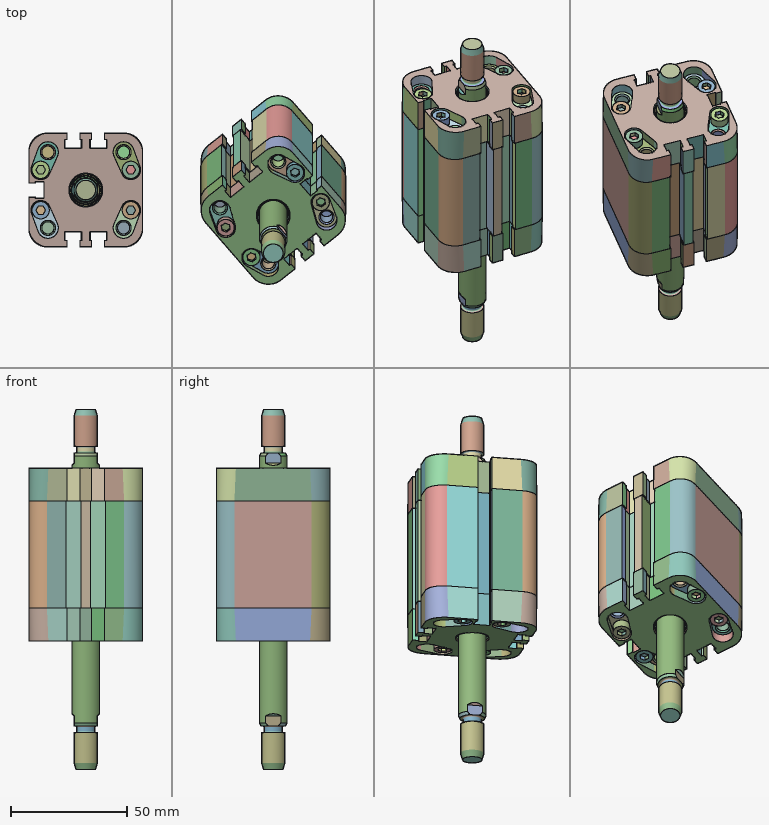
import cadquery as cq
import math


WIDTH = 49.0
HALF_WIDTH = WIDTH / 2
CORNER_RADIUS = 7.9
CAP_END_CORNER_RADIUS = 8.5
BODY_LENGTH = 74.4
CAP_LENGTH = 14.3
BARREL_LENGTH = BODY_LENGTH - 2 * CAP_LENGTH

SLOT_DEPTH = 6.5
LIP_DEPTH = 2.8
WEB_HALF_WIDTH = 2.5
PAIR_MOUTH_WIDTH = 5.6
UNDERCUT = 1.0
BARREL_MOUTH_RELIEF = 0.5
SIDE_MOUTH_WIDTH = 6.0
SIDE_UNDERCUT = 0.5

HOLE_OFFSET = 16.3
HOLE_DIAMETER = 5.3
HOLE_DEPTH = 9.3
HOLE_MOUTH_DIAMETER = 6.5
SCREW_X = 19.4
SCREW_Y = 8.7
POCKET_DEPTH = 4.5
HOLE_POCKET_RADIUS = 4.5
SCREW_POCKET_RADIUS = 4.2
HEAD_DIAMETER = 7.5
HEAD_HEIGHT = 3.9
SOCKET_ACROSS_FLATS = 3.5
SOCKET_DEPTH = 2.0

ROD_DIAMETER = 12.0
ROD_LENGTH = 155.0
TOP_REACH = 25.3
TIP_DIAMETER = 8.4
TIP_LENGTH = 2.8
THREAD_DIAMETER = 10.0
THREAD_LENGTH = 16.0
NECK_DIAMETER = 7.9
NECK_FILLET = 0.5
SHOULDER_DISTANCE = 18.8
SHOULDER_CHAMFER_HEIGHT = 1.4
SHOULDER_CHAMFER_WIDTH = 0.6
FLAT_WIDTH = 9.9
FLAT_LENGTH = 4.3
CAP_BORE_DIAMETER = 12.5
MOUTH_DIAMETER = 13.6
MOUTH_RIM_DIAMETER = 14.5
MOUTH_DEPTH = 1.5


def disc(x, y, radius, bottom, height):
    return cq.Workplane("XY", origin=(x, y, bottom)).circle(radius).extrude(height)


def countersink(x, y, top, inner_diameter, outer_diameter):
    """45 degree cone that opens a hole from its inner to its outer diameter at height top."""
    depth = (outer_diameter - inner_diameter) / 2
    return (
        cq.Workplane("XY", origin=(x, y, top - depth))
        .circle(inner_diameter / 2)
        .workplane(offset=depth)
        .circle(outer_diameter / 2)
        .loft()
    )


def rounded_square(end_radius, length):
    """Square block whose corner radius changes evenly to end_radius at the upper face."""
    base = cq.Sketch().rect(WIDTH, WIDTH).vertices().fillet(CORNER_RADIUS)
    end = cq.Sketch().rect(WIDTH, WIDTH).vertices().fillet(end_radius)
    return cq.Workplane("XY").placeSketch(base, end.moved(cq.Location((0, 0, length)))).loft(ruled=True)


def edge_slot(left, right, outer_depth, inner_depth, length):
    """Slot section between two X positions, cut in from the -Y side."""
    return (
        cq.Workplane("XY")
        .center((left + right) / 2, -HALF_WIDTH + (outer_depth + inner_depth) / 2)
        .rect(right - left, inner_depth - outer_depth)
        .extrude(length)
    )


def paired_slot(relief, web_undercut, length):
    """The slot right of the web on the -Y side."""
    inner_edge = WEB_HALF_WIDTH
    outer_edge = WEB_HALF_WIDTH + PAIR_MOUTH_WIDTH
    mouth = edge_slot(inner_edge - relief, outer_edge + relief, 0, LIP_DEPTH, length)
    cavity = edge_slot(inner_edge - web_undercut, outer_edge + UNDERCUT, LIP_DEPTH, SLOT_DEPTH, length)
    return mouth.union(cavity)


def side_slot(length):
    """The single slot in the -X side."""
    mouth_edge = SIDE_MOUTH_WIDTH / 2
    cavity_edge = mouth_edge + SIDE_UNDERCUT
    mouth = edge_slot(-mouth_edge, mouth_edge, 0, LIP_DEPTH, length)
    cavity = edge_slot(-cavity_edge, cavity_edge, LIP_DEPTH, SLOT_DEPTH, length)
    return mouth.union(cavity).rotate((0, 0, 0), (0, 0, 1), -90)


def cut_profile(block, length, relief, web_undercut, bore_diameter):
    """Cuts all slots and the rod bore into a block that stands on Z = 0."""
    slot = paired_slot(relief, web_undercut, length)
    block = block.cut(side_slot(length))
    for right_slot in (slot, slot.mirror("XZ")):
        block = block.cut(right_slot).cut(right_slot.mirror("YZ"))
    return block.cut(disc(0, 0, bore_diameter / 2, 0, length))


def make_barrel():
    block = rounded_square(CORNER_RADIUS, BARREL_LENGTH)
    block = cut_profile(block, BARREL_LENGTH, BARREL_MOUTH_RELIEF, BARREL_MOUTH_RELIEF, ROD_DIAMETER)
    return block.translate((0, 0, -BARREL_LENGTH / 2))


def pocket(floor):
    """Recess bounded by two circles and their outer tangent lines, in the +X +Y corner."""
    span = math.hypot(HOLE_OFFSET - SCREW_X, HOLE_OFFSET - SCREW_Y)
    heading = math.atan2(HOLE_OFFSET - SCREW_Y, HOLE_OFFSET - SCREW_X)
    spread = math.acos((SCREW_POCKET_RADIUS - HOLE_POCKET_RADIUS) / span)

    def point(x, y, radius, angle):
        return (x + radius * math.cos(angle), y + radius * math.sin(angle))

    def on_screw(angle):
        return point(SCREW_X, SCREW_Y, SCREW_POCKET_RADIUS, heading + angle)

    def on_hole(angle):
        return point(HOLE_OFFSET, HOLE_OFFSET, HOLE_POCKET_RADIUS, heading + angle)

    return (
        cq.Workplane("XY", origin=(0, 0, floor))
        .moveTo(*on_screw(spread))
        .threePointArc(on_screw(math.pi), on_screw(-spread))
        .lineTo(*on_hole(-spread))
        .threePointArc(on_hole(0), on_hole(spread))
        .close()
        .extrude(POCKET_DEPTH)
    )


def mounting_hole(floor):
    hole = disc(HOLE_OFFSET, HOLE_OFFSET, HOLE_DIAMETER / 2, floor - HOLE_DEPTH, HOLE_DEPTH)
    return hole.union(countersink(HOLE_OFFSET, HOLE_OFFSET, floor, HOLE_DIAMETER, HOLE_MOUTH_DIAMETER))


def screw_head(floor):
    head = disc(SCREW_X, SCREW_Y, HEAD_DIAMETER / 2, floor, HEAD_HEIGHT)
    across_corners = SOCKET_ACROSS_FLATS / math.cos(math.pi / 6)
    socket = (
        cq.Workplane("XY", origin=(SCREW_X, SCREW_Y, floor + HEAD_HEIGHT - SOCKET_DEPTH))
        .polygon(6, across_corners)
        .extrude(SOCKET_DEPTH)
    )
    return head.cut(socket)


def in_four_corners(shape):
    across = [shape, shape.mirror("YZ")]
    return across + [copy.mirror("XZ") for copy in across]


def make_upper_cap():
    cap = rounded_square(CAP_END_CORNER_RADIUS, CAP_LENGTH)
    cap = cut_profile(cap, CAP_LENGTH, 0, UNDERCUT, CAP_BORE_DIAMETER)
    floor = CAP_LENGTH - POCKET_DEPTH
    for recess in in_four_corners(pocket(floor).union(mounting_hole(floor))):
        cap = cap.cut(recess)
    for head in in_four_corners(screw_head(floor)):
        cap = cap.union(head)
    cap = cap.cut(disc(0, 0, MOUTH_DIAMETER / 2, CAP_LENGTH - MOUTH_DEPTH, MOUTH_DEPTH))
    cap = cap.cut(countersink(0, 0, CAP_LENGTH, MOUTH_DIAMETER, MOUTH_RIM_DIAMETER))
    return cap.translate((0, 0, BARREL_LENGTH / 2))


def rod_end_profile(half_length):
    """Radius and height points from the rod shoulder to the tip of the upper end."""
    tip = half_length
    shoulder = tip - SHOULDER_DISTANCE
    rod_radius = ROD_DIAMETER / 2
    return [
        (rod_radius, shoulder - SHOULDER_CHAMFER_HEIGHT),
        (rod_radius - SHOULDER_CHAMFER_WIDTH, shoulder),
        (NECK_DIAMETER / 2, shoulder),
        (NECK_DIAMETER / 2, tip - THREAD_LENGTH),
        (THREAD_DIAMETER / 2, tip - THREAD_LENGTH),
        (THREAD_DIAMETER / 2, tip - TIP_LENGTH),
        (TIP_DIAMETER / 2, tip),
    ]


def flat_cutter(half_length):
    """Removes the -X wrench flat with its 45 degree run-out at the upper rod end."""
    shoulder = half_length - SHOULDER_DISTANCE
    flat_bottom = shoulder - FLAT_LENGTH
    flat_x = -FLAT_WIDTH / 2
    run_out = ROD_DIAMETER / 2 - FLAT_WIDTH / 2
    return (
        cq.Workplane("XZ")
        .polyline(
            [
                (flat_x, shoulder),
                (flat_x, flat_bottom),
                (flat_x - run_out, flat_bottom - run_out),
                (flat_x - run_out, shoulder),
            ]
        )
        .close()
        .extrude(ROD_DIAMETER / 2, both=True)
    )


def make_rod():
    half_length = ROD_LENGTH / 2
    upper = rod_end_profile(half_length)
    lower = [(radius, -height) for radius, height in reversed(upper)]
    outline = [(0, -half_length)] + lower + upper + [(0, half_length)]
    rod = cq.Workplane("XZ").polyline(outline).close().revolve(360, (0, 0, 0), (0, 1, 0))
    rod = rod.edges(cq.selectors.RadiusNthSelector(0)).fillet(NECK_FILLET)
    cutter = flat_cutter(half_length)
    for left_cutter in (cutter, cutter.mirror("XY")):
        rod = rod.cut(left_cutter).cut(left_cutter.mirror("YZ"))
    rod_centre = BODY_LENGTH / 2 + TOP_REACH - half_length
    return rod.translate((0, 0, rod_centre))


barrel = make_barrel()
upper_cap = make_upper_cap()
lower_cap = upper_cap.mirror("XY")
rod = make_rod()

result = cq.Compound.makeCompound([barrel.val(), upper_cap.val(), lower_cap.val(), rod.val()])